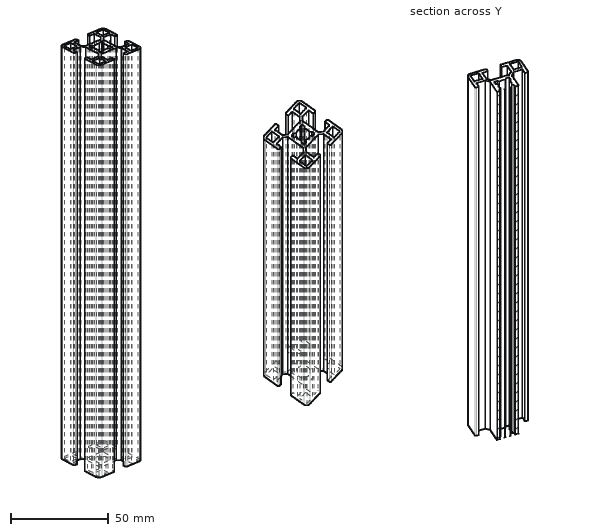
import cadquery as cq
import math

bar_length = 240.0
bar_width = 30.0
corner_radius = 2.05

slot_opening = 7.7
lip_thickness = 2.05
lip_edge_radius = 0.6
chamber_width = 14.0

core_width = 12.2
web_thickness = 1.5
outer_wall = 1.54
inner_wall = 1.8

core_wall = 2.0
bore_radius = 3.5
rib_root_half_width = 2.5
rib_tip_half_width = 1.7

half_width = bar_width / 2
quarter_turns = (0, 90, 180, 270)


def extrude_outline(outline):
    """Close an outline and extrude it the full length of the bar."""
    return outline.close().extrude(bar_length)


def t_slot():
    """One T-slot opening on the +Y side."""
    half_opening = slot_opening / 2
    half_chamber = chamber_width / 2
    lip_inside = half_width - lip_thickness
    floor = core_width / 2
    web_offset = web_thickness / math.sqrt(2)
    half_floor = floor - web_offset
    web_root = half_chamber + web_offset
    mouth_curve = lip_edge_radius * (1 - math.sqrt(0.5))
    half_mouth = half_opening + lip_edge_radius

    outline = (
        cq.Workplane("XY")
        .moveTo(-half_floor, floor)
        .lineTo(half_floor, floor)
        .lineTo(half_chamber, web_root)
        .lineTo(half_chamber, lip_inside)
        .lineTo(half_opening, lip_inside)
        .lineTo(half_opening, half_width - lip_edge_radius)
        .threePointArc((half_opening + mouth_curve, half_width - mouth_curve), (half_mouth, half_width))
        .lineTo(-half_mouth, half_width)
        .threePointArc(
            (-half_opening - mouth_curve, half_width - mouth_curve),
            (-half_opening, half_width - lip_edge_radius),
        )
        .lineTo(-half_opening, lip_inside)
        .lineTo(-half_chamber, lip_inside)
        .lineTo(-half_chamber, web_root)
    )
    return extrude_outline(outline)


def corner_hollows():
    """Square hollows running through the four corner boxes."""
    near = chamber_width / 2 + inner_wall
    far = half_width - outer_wall
    spacing = near + far
    size = far - near
    return (
        cq.Workplane("XY")
        .rarray(spacing, spacing, 2, 2)
        .rect(size, size)
        .extrude(bar_length)
    )


def channel_corner_pocket():
    """Pocket reaching from the bore into the (+X, +Y) corner of the core."""
    corner = core_width / 2 - core_wall
    rib_tip = math.sqrt(bore_radius**2 - rib_tip_half_width**2)
    outline = cq.Workplane("XY").polyline(
        [
            (0, 0),
            (rib_tip, rib_tip_half_width),
            (corner, rib_root_half_width),
            (corner, corner),
            (rib_root_half_width, corner),
            (rib_tip_half_width, rib_tip),
        ]
    )
    return extrude_outline(outline)


bar = cq.Workplane("XY").rect(bar_width, bar_width).extrude(bar_length)
bar = bar.edges("|Z").fillet(corner_radius)

slot = t_slot()
pocket = channel_corner_pocket()
channel = cq.Workplane("XY").circle(bore_radius).extrude(bar_length)
for angle in quarter_turns:
    bar = bar.cut(slot.rotate((0, 0, 0), (0, 0, 1), angle))
    channel = channel.union(pocket.rotate((0, 0, 0), (0, 0, 1), angle))

result = bar.cut(corner_hollows()).cut(channel)